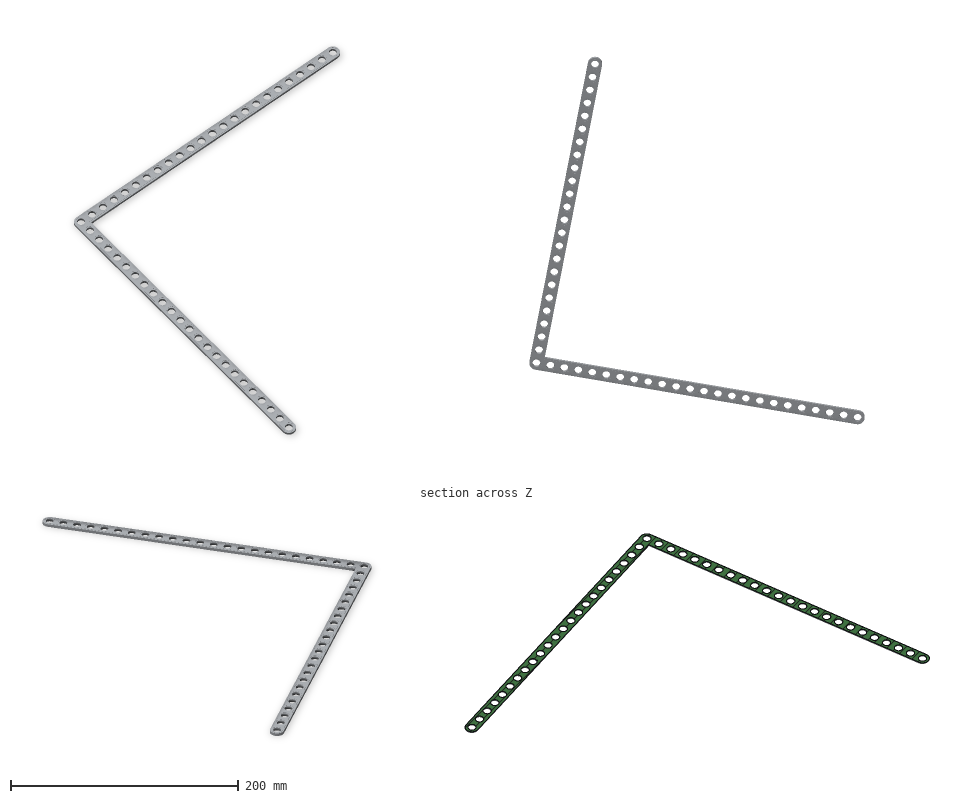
import cadquery as cq

arm_length = 300.0
thickness = 3.0
holes_per_arm = 24

pitch = arm_length / holes_per_arm
arm_width = pitch
hole_span = arm_length - arm_width

hole_diameter = 7.0
ring_diameter = 9.3

border_width = 1.25
step_height = 0.18


def angle_plate(width, bottom, height):
    """L-shaped plate of two round-ended arms centred on the hole rows."""
    length = hole_span + width
    plane = cq.Workplane("XY").workplane(offset=bottom)
    arm_x = plane.center(hole_span / 2, 0).slot2D(length, width).extrude(height)
    arm_y = plane.center(0, hole_span / 2).slot2D(length, width, 90).extrude(height)
    return arm_x.union(arm_y)


def hole_centres():
    """Centres along both arms, with the shared corner hole listed once."""
    along_x = [(i * pitch, 0) for i in range(holes_per_arm)]
    along_y = [(0, i * pitch) for i in range(1, holes_per_arm)]
    return along_x + along_y


def cylinders(diameter, bottom, height):
    """One cylinder at every hole centre."""
    plane = cq.Workplane("XY").workplane(offset=bottom)
    return plane.pushPoints(hole_centres()).circle(diameter / 2).extrude(height)


def raised_panels(bottom):
    """Thin pads between the holes, clear of the border and the hole rings."""
    pads = angle_plate(arm_width - 2 * border_width, bottom, step_height)
    return pads.cut(cylinders(ring_diameter, bottom, step_height))


core = angle_plate(arm_width, step_height, thickness - 2 * step_height)
lower_panels = raised_panels(0)
upper_panels = raised_panels(thickness - step_height)
bracket = core.union(lower_panels).union(upper_panels)

result = bracket.cut(cylinders(hole_diameter, 0, thickness))